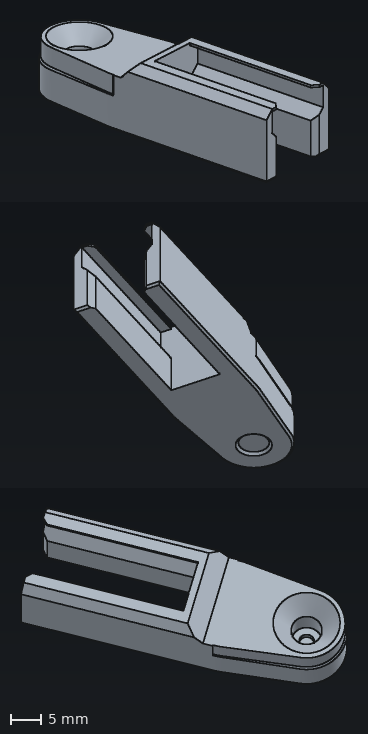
import cadquery as cq
import math


body_width = 16.2
body_height = 13.0
nose_radius = 6.65
overall_length = 53.1
tail_x = overall_length - nose_radius
half_width = body_width / 2
corner_x = 12.9
corner_radius = 9.0
bottom_chamfer = 0.4
rail_chamfer = 1.5

nose_height = 10.0
ramp_rise = body_height - nose_height
ramp_start_x = 15.45

relief_nose_inset = 0.3
relief_side_inset = 0.15
relief_end_x = 13.8
ledge_top_z = 6.45
ledge_drop = 0.4
ledge_angle = 40.0

countersink_diameter = 11.0
bore_diameter = 5.05
bore_floor_z = 2.7
pilot_diameter = 2.5
pilot_depth = 1.0
dimple_diameter = 6.0
dimple_angle = 45.0
dimple_depth = (dimple_diameter - bore_diameter) / 2

slot_width = 9.1
slot_start_x = 19.75
slot_mouth_chamfer = 1.0
groove_depth = 2.0
groove_height = 4.0
lip_thickness = 0.45

half_slot = slot_width / 2
margin = 1.0


def nose_outline(radius, half_side, end_x, bottom_z):
    """Round nose, tangent tapered flanks and straight sides, in a plane at bottom_z."""
    corner_distance = math.hypot(corner_x, half_side)
    tangent_angle = math.atan2(half_side, corner_x) + math.acos(radius / corner_distance)
    tangent_x = radius * math.cos(tangent_angle)
    tangent_y = radius * math.sin(tangent_angle)
    flank_slope = tangent_angle - math.pi / 2
    setback = corner_radius * math.tan(flank_slope / 2)
    blend_x = corner_x - setback * math.cos(flank_slope)
    blend_y = half_side - setback * math.sin(flank_slope)
    side_x = corner_x + setback
    middle_x = side_x - corner_radius * math.sin(flank_slope / 2)
    middle_y = half_side - corner_radius * (1 - math.cos(flank_slope / 2))
    return (
        cq.Workplane("XY", origin=(0, 0, bottom_z))
        .moveTo(end_x, -half_side)
        .lineTo(end_x, half_side)
        .lineTo(side_x, half_side)
        .threePointArc((middle_x, middle_y), (blend_x, blend_y))
        .lineTo(tangent_x, tangent_y)
        .threePointArc((-radius, 0), (tangent_x, -tangent_y))
        .lineTo(blend_x, -blend_y)
        .threePointArc((middle_x, -middle_y), (side_x, -half_side))
        .close()
    )


def make_body():
    """Full-height block with chamfered underside, rail edges and the ramp down to the nose."""
    body = nose_outline(nose_radius, half_width, tail_x, 0).extrude(body_height)
    body = body.faces("<Z").edges().chamfer(bottom_chamfer)
    body = body.faces(">Z").edges("|X").chamfer(rail_chamfer)
    above_nose = (
        cq.Workplane("XZ")
        .moveTo(-nose_radius - margin, nose_height)
        .lineTo(ramp_start_x, nose_height)
        .lineTo(ramp_start_x + ramp_rise + margin, body_height + margin)
        .lineTo(-nose_radius - margin, body_height + margin)
        .close()
        .extrude(body_width / 2 + margin, both=True)
    )
    return body.cut(above_nose)


def make_relief():
    """Thin skin removed around the upper half of the nose, ending below in a sloped ledge."""
    ledge_bottom_z = ledge_top_z - ledge_drop
    ledge_spread = ledge_drop * math.tan(math.radians(ledge_angle))
    inner_radius = nose_radius - relief_nose_inset
    inner_side = half_width - relief_side_inset
    core_end_x = relief_end_x + margin
    core = nose_outline(inner_radius, inner_side, core_end_x, ledge_top_z).extrude(body_height)
    ledge = nose_outline(
        inner_radius + ledge_spread, inner_side + ledge_spread, core_end_x, ledge_bottom_z
    ).extrude(ledge_drop, taper=ledge_angle)
    skin = cq.Workplane("XY").box(
        relief_end_x + nose_radius + margin,
        body_width + 2 * margin,
        nose_height + margin - ledge_bottom_z,
        centered=(False, True, False),
    ).translate((-nose_radius - margin, 0, ledge_bottom_z))
    return skin.cut(core).cut(ledge)


def make_screw_hole():
    """Countersunk blind bore with a pilot hole in its floor."""
    countersink_depth = (countersink_diameter - bore_diameter) / 2
    return (
        cq.Workplane("XZ")
        .moveTo(0, bore_floor_z - pilot_depth)
        .lineTo(pilot_diameter / 2, bore_floor_z - pilot_depth)
        .lineTo(pilot_diameter / 2, bore_floor_z)
        .lineTo(bore_diameter / 2, bore_floor_z)
        .lineTo(bore_diameter / 2, nose_height - countersink_depth)
        .lineTo(countersink_diameter / 2, nose_height)
        .lineTo(0, nose_height)
        .close()
        .revolve(axisStart=(0, 0, 0), axisEnd=(0, 1, 0))
    )


def make_dimple():
    """Shallow conical recess in the underside, on the pivot axis."""
    return (
        cq.Workplane("XY")
        .circle(dimple_diameter / 2)
        .extrude(dimple_depth, taper=dimple_angle)
    )


def make_slot():
    """Slot through the full height, with its mouth widened by chamfers."""
    return (
        cq.Workplane("XY")
        .moveTo(slot_start_x, -half_slot)
        .lineTo(tail_x - slot_mouth_chamfer, -half_slot)
        .lineTo(tail_x, -half_slot - slot_mouth_chamfer)
        .lineTo(tail_x, half_slot + slot_mouth_chamfer)
        .lineTo(tail_x - slot_mouth_chamfer, half_slot)
        .lineTo(slot_start_x, half_slot)
        .close()
        .extrude(body_height)
    )


def make_grooves():
    """Groove along both rails: flat under the top lip, 45 degree slope at the bottom."""
    groove_top_z = body_height - lip_thickness
    groove_bottom_z = groove_top_z - groove_height
    slope_end_z = groove_bottom_z - groove_depth
    groove_y = half_slot + groove_depth
    return (
        cq.Workplane("YZ", origin=(slot_start_x, 0, 0))
        .moveTo(-groove_y, groove_top_z)
        .lineTo(groove_y, groove_top_z)
        .lineTo(groove_y, groove_bottom_z)
        .lineTo(half_slot, slope_end_z)
        .lineTo(-half_slot, slope_end_z)
        .lineTo(-groove_y, groove_bottom_z)
        .close()
        .extrude(tail_x - slot_start_x)
    )


result = (
    make_body()
    .cut(make_relief())
    .cut(make_screw_hole())
    .cut(make_dimple())
    .cut(make_slot())
    .cut(make_grooves())
)